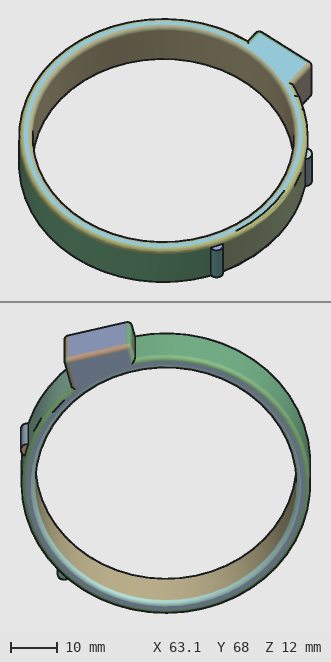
import cadquery as cq
import math

ring_outer_radius = 31.0
ring_wall = 3.0
ring_height = 12.0
edge_round = 1.0
ring_bore_radius = ring_outer_radius - ring_wall
ring_mid_radius = ring_outer_radius - ring_wall / 2

block_angle = 115.5
block_face_distance = 34.75
block_width = 14.95
block_end_offset = 1.1

rib_angles = (-5, 55)
rib_radius = 1.4
rib_tip_radius = 32.25
rib_center_radius = rib_tip_radius - rib_radius
rib_height = ring_height - 2 * edge_round


def cylinder(radius, height):
    """Upright cylinder on the Z axis, centred on the XY plane."""
    return cq.Workplane("XY").circle(radius).extrude(height / 2, both=True)


def make_band():
    """Plain ring with its four circular edges rounded."""
    band = cylinder(ring_outer_radius, ring_height).cut(cylinder(ring_bore_radius, ring_height))
    return band.edges("%CIRCLE").fillet(edge_round)


def make_block():
    """Block with rounded outer edges, trimmed at the middle of the ring wall."""
    center_y = block_end_offset - block_width / 2
    block = (
        cq.Workplane("XY")
        .center(block_face_distance / 2, center_y)
        .rect(block_face_distance, block_width)
        .extrude(ring_height / 2, both=True)
        .edges("not <X")
        .fillet(edge_round)
        .rotate((0, 0, 0), (0, 0, 1), block_angle)
    )
    return block.cut(cylinder(ring_mid_radius, ring_height))


def make_rib(angle):
    """Upright round rib sunk into the ring wall at the given angle."""
    rib_x = rib_center_radius * math.cos(math.radians(angle))
    rib_y = rib_center_radius * math.sin(math.radians(angle))
    return cylinder(rib_radius, rib_height).translate((rib_x, rib_y, 0))


def make_ring():
    """Ring with its block and ribs, as one solid."""
    ring = make_band().union(make_block())
    for angle in rib_angles:
        ring = ring.union(make_rib(angle))
    return ring


ring = make_ring()

result = cq.Compound.makeCompound([ring.val()])